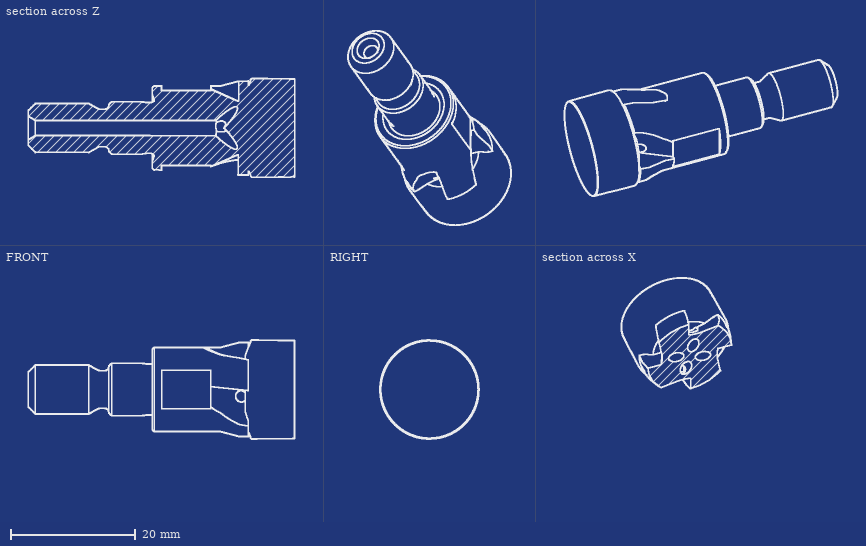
import math

import cadquery as cq


pilot_radius = 3.98
pilot_chamfer = 1.2
pilot_length = 9.75
groove_radius = 3.05
groove_cone_end_x = 11.3
groove_cone_end_radius = 3.12
groove_start_x = 11.65
groove_fillet = 0.65
groove_fillet_x = 12.35

collar_radius = 4.25
collar_chamfer = 0.45
collar_end_x = 18.3
relief_cone_end_x = 19.07
relief_cone_end_radius = 4.14
relief_radius = 4.13
relief_start_x = 19.2
relief_end_x = 19.7
recess_inner_radius = 4.47
recess_outer_radius = 5.3
recess_depth = 0.3

body_start_x = 20.0
body_radius = 6.8
body_chamfer = 0.3
neck_cone_start_x = 31.0
neck_cone_end_x = 34.0
neck_radius = 7.59
neck_end_x = 35.5

flat_start_x = 21.5
flat_end_x = 29.45
flat_distance = 6.07

disc_back_x = 34.95
disc_back_radius = 5.4
disc_rim_x = 35.82
disc_edge_fillet = 0.3
disc_radius = 7.99
disc_front_radius = 7.93
disc_front_chamfer = 0.1
total_length = 42.99

flute_count = 4
flute_entry_x = 28.3
flute_tool_start_x = 27.0
flute_tool_end_x = 36.5
flute_tool_top = 9.0
wall_entry_y = 0.58
wall_skew = -0.105
floor_entry_z = 6.83
floor_slope = -0.45
strip_width = 2.08
strip_drop = 0.1
strip_sag = 0.08
outer_floor_width = 7.0
outer_floor_level_x = 29.8
outer_floor_twist = 0.062

bore_radius = 1.2
countersink_radius = 1.9
countersink_depth = 1.2
bore_end_x = 30.3
branch_radius = 0.9
branch_exit = cq.Vector(34.3, -1.1, 4.0)
branch_length = 7.0


def revolve_about_x(profile):
    """Turn an XY profile, drawn from axis to axis, about X."""
    return profile.close().revolve(360, (0, 0, 0), (1, 0, 0))


def make_shank_and_body():
    groove_fillet_mid = groove_fillet * math.sqrt(0.5)
    groove_fillet_center_r = groove_radius + groove_fillet
    collar_start_x = groove_fillet_x + groove_fillet
    profile = (
        cq.Workplane("XY")
        .moveTo(0, 0)
        .lineTo(0, pilot_radius - pilot_chamfer)
        .lineTo(pilot_chamfer, pilot_radius)
        .lineTo(pilot_length, pilot_radius)
        .lineTo(groove_cone_end_x, groove_cone_end_radius)
        .tangentArcPoint((groove_start_x, groove_radius), relative=False)
        .lineTo(groove_fillet_x, groove_radius)
        .threePointArc(
            (groove_fillet_x + groove_fillet_mid, groove_fillet_center_r - groove_fillet_mid),
            (collar_start_x, groove_fillet_center_r),
        )
        .lineTo(collar_start_x, collar_radius - collar_chamfer)
        .lineTo(collar_start_x + collar_chamfer, collar_radius)
        .lineTo(collar_end_x, collar_radius)
        .lineTo(relief_cone_end_x, relief_cone_end_radius)
        .tangentArcPoint((relief_start_x, relief_radius), relative=False)
        .lineTo(relief_end_x, relief_radius)
        .tangentArcPoint((body_start_x + recess_depth, recess_inner_radius), relative=False)
        .lineTo(body_start_x, recess_outer_radius)
        .lineTo(body_start_x, body_radius - body_chamfer)
        .lineTo(body_start_x + body_chamfer, body_radius)
        .lineTo(neck_cone_start_x, body_radius)
        .lineTo(neck_cone_end_x, neck_radius)
        .lineTo(neck_end_x, neck_radius)
        .lineTo(neck_end_x, 0)
    )
    return revolve_about_x(profile)


def make_wrench_flats():
    flat_length = flat_end_x - flat_start_x
    flat_depth = body_radius - flat_distance
    flats = cq.Workplane("XY")
    for side in (1, -1):
        center_y = side * (flat_distance + flat_depth / 2)
        flats = flats.add(
            cq.Workplane("XY")
            .box(flat_length, flat_depth, 2 * body_radius)
            .translate((flat_start_x + flat_length / 2, center_y, 0))
        )
    return flats.combine()


def flute_section(x):
    """Cross-section of the flute space at x: upright wall, hollow strip, outer floor."""
    run = x - flute_entry_x
    wall_y = wall_entry_y + wall_skew * run
    wall_z = floor_entry_z + floor_slope * run
    strip_y = wall_y - strip_width
    strip_z = wall_z - strip_drop
    outer_y = strip_y - outer_floor_width
    outer_z = strip_z + outer_floor_width * outer_floor_twist * (x - outer_floor_level_x)
    strip_middle = cq.Vector(x, (wall_y + strip_y) / 2, (wall_z + strip_z) / 2 - strip_sag)
    wall_top = cq.Vector(x, wall_y, flute_tool_top)
    wall_foot = cq.Vector(x, wall_y, wall_z)
    strip_end = cq.Vector(x, strip_y, strip_z)
    outer_end = cq.Vector(x, outer_y, outer_z)
    outer_top = cq.Vector(x, outer_y, flute_tool_top)
    return cq.Wire.assembleEdges(
        [
            cq.Edge.makeLine(wall_top, wall_foot),
            cq.Edge.makeThreePointArc(wall_foot, strip_middle, strip_end),
            cq.Edge.makeLine(strip_end, outer_end),
            cq.Edge.makeLine(outer_end, outer_top),
            cq.Edge.makeLine(outer_top, wall_top),
        ]
    )


def make_flute():
    sections = [flute_section(flute_tool_start_x), flute_section(flute_tool_end_x)]
    return cq.Workplane(cq.Solid.makeLoft(sections, True))


def make_disc():
    fillet_center_r = disc_radius - disc_edge_fillet
    fillet_mid = disc_edge_fillet * math.sqrt(0.5)
    crown_start_x = disc_rim_x + disc_edge_fillet
    profile = (
        cq.Workplane("XY")
        .moveTo(disc_back_x, 0)
        .lineTo(disc_back_x, disc_back_radius)
        .lineTo(disc_rim_x, fillet_center_r)
        .threePointArc(
            (crown_start_x - fillet_mid, fillet_center_r + fillet_mid),
            (crown_start_x, disc_radius),
        )
        .tangentArcPoint((total_length - disc_front_chamfer, disc_front_radius), relative=False)
        .lineTo(total_length, disc_front_radius - disc_front_chamfer)
        .lineTo(total_length, 0)
    )
    return revolve_about_x(profile)


def make_bore():
    profile = (
        cq.Workplane("XY")
        .moveTo(0, 0)
        .lineTo(0, countersink_radius)
        .lineTo(countersink_depth, bore_radius)
        .lineTo(bore_end_x, bore_radius)
        .lineTo(bore_end_x, 0)
    )
    return revolve_about_x(profile)


def make_branch():
    """Coolant branch from the end of the bore out through the flute floor."""
    start = cq.Vector(bore_end_x, 0, 0)
    return cq.Workplane(
        cq.Solid.makeCylinder(branch_radius, branch_length, start, branch_exit - start)
    )


def cut_around_axis(part, tool):
    for index in range(flute_count):
        angle = index * 360 / flute_count
        part = part.cut(tool.rotate((0, 0, 0), (1, 0, 0), angle))
    return part


body = make_shank_and_body().cut(make_wrench_flats())
body = cut_around_axis(body, make_flute())
body = body.cut(make_bore())
body = cut_around_axis(body, make_branch())
result = body.union(make_disc())